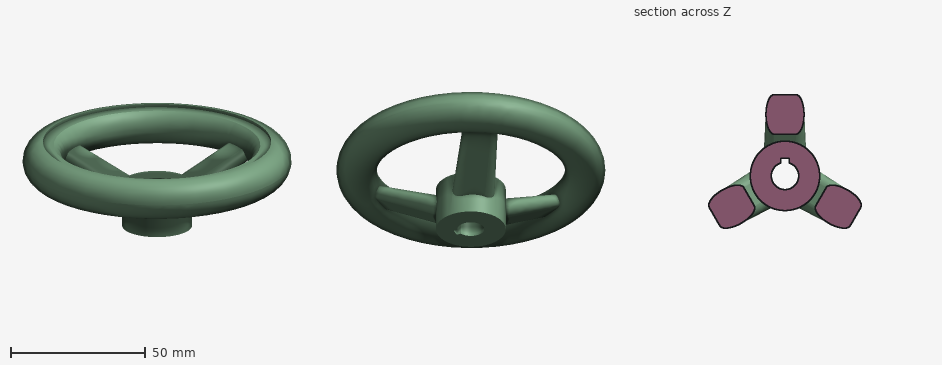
import cadquery as cq
import math

rim_outer_radius = 50.0
rim_section_radius = 7.5
rim_step_depth = 1.2
rim_center_radius = rim_outer_radius - rim_section_radius

hub_radius = 13.0
hub_height = 17.0
bore_radius = 5.0
keyway_width = 3.0
keyway_depth = 1.4

overall_height = 33.0
rim_center_height = overall_height - rim_section_radius

spoke_count = 3
spoke_spacing = 360.0 / spoke_count
first_spoke_angle = 90.0
spoke_flat_width = 8.0
spoke_root_radius = 7.0
spoke_root_height = 8.65
spoke_root_thickness = 8.0
spoke_tip_thickness = 4.5


def rim_section_point(angle):
    """Point on the round rim section as (radius, height); 0 degrees faces outward."""
    turn = math.radians(angle)
    return (
        rim_center_radius + rim_section_radius * math.cos(turn),
        rim_center_height + rim_section_radius * math.sin(turn),
    )


def make_rim():
    step_height = overall_height - rim_step_depth
    rise_to_step = step_height - rim_center_height
    step_inner_radius = rim_center_radius - math.sqrt(rim_section_radius**2 - rise_to_step**2)
    section = (
        cq.Workplane("YZ")
        .moveTo(rim_center_radius, overall_height)
        .threePointArc(rim_section_point(45), rim_section_point(0))
        .threePointArc(rim_section_point(270), rim_section_point(180))
        .threePointArc(rim_section_point(150), (step_inner_radius, step_height))
        .lineTo(rim_center_radius, step_height)
        .close()
    )
    return section.revolve(360, (0, 0), (0, 1))


def make_hub():
    return cq.Workplane("XY").circle(hub_radius).extrude(hub_height)


def make_spoke(angle):
    """A tapered bar from inside the hub to the center of the rim section."""
    run = rim_center_radius - spoke_root_radius
    rise = rim_center_height - spoke_root_height
    length = math.hypot(run, rise)
    root_plane = cq.Plane(
        origin=(spoke_root_radius, 0, spoke_root_height),
        xDir=(0, 1, 0),
        normal=(run, 0, rise),
    )
    spoke = (
        cq.Workplane(root_plane)
        .slot2D(spoke_flat_width + spoke_root_thickness, spoke_root_thickness)
        .workplane(offset=length)
        .slot2D(spoke_flat_width + spoke_tip_thickness, spoke_tip_thickness)
        .loft(ruled=True)
    )
    return spoke.rotate((0, 0, 0), (0, 0, 1), angle)


def make_keyed_bore():
    bore = cq.Workplane("XY").circle(bore_radius).extrude(hub_height)
    keyway = cq.Workplane("XY").box(
        keyway_width,
        bore_radius + keyway_depth,
        hub_height,
        centered=(True, False, False),
    )
    return bore.union(keyway)


wheel = make_hub().union(make_rim())
for index in range(spoke_count):
    wheel = wheel.union(make_spoke(first_spoke_angle + index * spoke_spacing))

result = wheel.cut(make_keyed_bore())